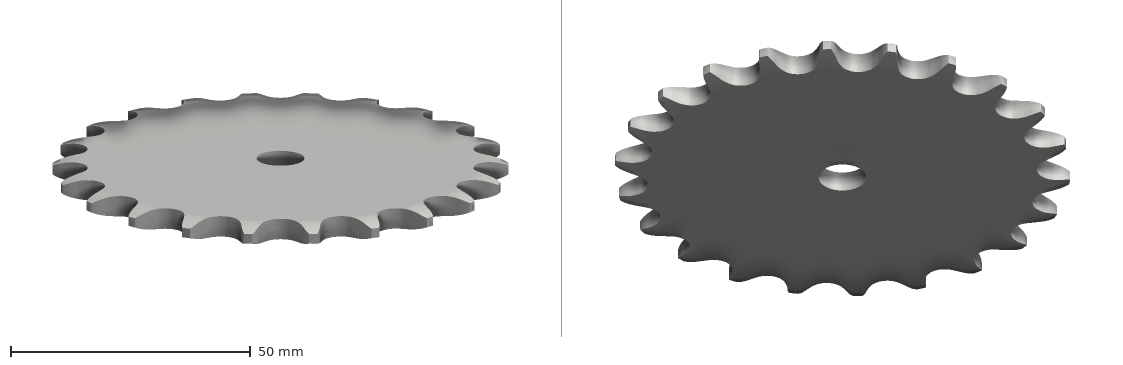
import cadquery as cq
import math

tooth_count = 22
chain_pitch = 12.7
thickness = 4.5
outer_radius = 47.5
bore_diameter = 10.0

flat_face_radius = 41.9
side_curve_radius = 13.5

seating_radius = 4.0
seating_half_angle = 52.3
working_radius = 10.4
working_sweep = 15.5
straight_flank = 0.95
topping_radius = 6.6
topping_sweep = 25.0

tooth_angle = 360 / tooth_count
pitch_radius = chain_pitch / 2 / math.sin(math.pi / tooth_count)


def step(point, length, degrees):
    """Move from a point by a length in the given direction, measured from +X."""
    angle = math.radians(degrees)
    return (point[0] + length * math.cos(angle), point[1] + length * math.sin(angle))


def mirrored(point):
    return (point[0], -point[1])


def make_blank():
    """Disc with a bore and curved-in rim, revolved from its half section."""
    half_thickness = thickness / 2
    rim_width = outer_radius - flat_face_radius

    def rim_half_height(distance):
        drop = side_curve_radius - math.sqrt(side_curve_radius**2 - distance**2)
        return half_thickness - drop

    tip_height = rim_half_height(rim_width)
    middle_height = rim_half_height(rim_width / 2)
    middle_radius = flat_face_radius + rim_width / 2
    bore_radius = bore_diameter / 2
    return (
        cq.Workplane("XZ")
        .moveTo(bore_radius, -half_thickness)
        .lineTo(flat_face_radius, -half_thickness)
        .threePointArc((middle_radius, -middle_height), (outer_radius, -tip_height))
        .lineTo(outer_radius, tip_height)
        .threePointArc((middle_radius, middle_height), (flat_face_radius, half_thickness))
        .lineTo(bore_radius, half_thickness)
        .close()
        .revolve(360, (0, 0, 0), (0, 1, 0))
    )


def make_gap():
    """Cutter for one tooth gap, symmetric about the X axis."""
    seating_end_angle = 180 - seating_half_angle
    flank_angle = seating_end_angle - working_sweep

    seating_centre = (pitch_radius, 0)
    gap_bottom = (pitch_radius - seating_radius, 0)
    seating_end = step(seating_centre, seating_radius, seating_end_angle)

    working_centre = step(seating_end, -working_radius, seating_end_angle)
    working_middle = step(working_centre, working_radius, seating_end_angle - working_sweep / 2)
    working_end = step(working_centre, working_radius, flank_angle)

    flank_end = step(working_end, straight_flank, flank_angle - 90)

    topping_centre = step(flank_end, topping_radius, flank_angle)
    topping_middle = step(topping_centre, -topping_radius, flank_angle + topping_sweep / 2)
    topping_end = step(topping_centre, -topping_radius, flank_angle + topping_sweep)

    return (
        cq.Workplane("XY")
        .moveTo(*mirrored(seating_end))
        .threePointArc(gap_bottom, seating_end)
        .threePointArc(working_middle, working_end)
        .lineTo(*flank_end)
        .threePointArc(topping_middle, topping_end)
        .lineTo(*mirrored(topping_end))
        .threePointArc(mirrored(topping_middle), mirrored(flank_end))
        .lineTo(*mirrored(working_end))
        .threePointArc(mirrored(working_middle), mirrored(seating_end))
        .close()
        .extrude(thickness, both=True)
    )


result = make_blank()
gap = make_gap()
for index in range(tooth_count):
    gap_angle = (index + 0.5) * tooth_angle
    result = result.cut(gap.rotate((0, 0, 0), (0, 0, 1), gap_angle))